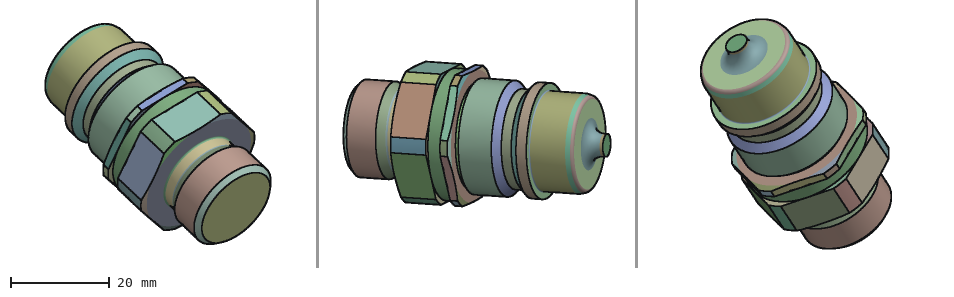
import cadquery as cq
import math

length = 53.7

tip_flare_start = 0.7
nose_face = 3.65
nose_cone_end = 5.2
collar_start = 13.0
collar_end = 15.25
groove_floor_start = 16.85
groove_floor_end = 19.0
barrel_start = 20.55
barrel_end = 27.7
hex_start = 28.7
hex_washer_end = 30.6
hex_nut_start = 33.65
hex_end = 41.6
thread_start = 46.3

tip_radius = 2.35
nose_radius = 10.25
collar_radius = 11.85
neck_radius = 10.9
relief_radius = 8.85
thread_radius = 10.0

hex_flats = 27.0
hex_corner_diameter = 29.5
hex_chamfer_angle = math.radians(15)

nose_edge_radius = 0.8
nose_cone_angle = math.radians(15)
collar_root_fillet = 0.2
neck_fillet = 0.3
relief_fillet = 0.3
relief_cone_fillet = 0.8
relief_cone_angle = math.radians(30)
thread_chamfer = 1.15


def arc(sketch, center, radius, start_angle, end_angle):
    """Add an arc around center, angles measured from +X; it begins where the sketch ends."""
    def on_circle(angle):
        return (center[0] + radius * math.cos(angle), center[1] + radius * math.sin(angle))

    return sketch.threePointArc(on_circle((start_angle + end_angle) / 2), on_circle(end_angle))


def root_fillet_before_wall(sketch, wall_x, radius, fillet):
    """Follow a cylinder up to a wall that rises from it, blending the corner."""
    sketch = sketch.lineTo(wall_x - fillet, radius)
    return arc(sketch, (wall_x - fillet, radius + fillet), fillet, -math.pi / 2, 0)


def root_fillet_after_wall(sketch, wall_x, radius, fillet):
    """Come down a wall onto a cylinder, blending the corner."""
    sketch = sketch.lineTo(wall_x, radius + fillet)
    return arc(sketch, (wall_x + fillet, radius + fillet), fillet, math.pi, 1.5 * math.pi)


def revolve_about_axis(sketch):
    return sketch.close().revolve(360, (0, 0, 0), (1, 0, 0))


def turned_body():
    """Everything that is round, with a plain cylinder inside the hexagon."""
    sketch = cq.Workplane("XY").lineTo(0, tip_radius).lineTo(tip_flare_start, tip_radius)

    flare_radius = nose_face - tip_flare_start
    flare_center = (tip_flare_start, tip_radius + flare_radius)
    sketch = arc(sketch, flare_center, flare_radius, -math.pi / 2, 0)

    edge_center_x = nose_face + nose_edge_radius
    cone_start = edge_center_x - nose_edge_radius * math.sin(nose_cone_angle)
    cone_start_radius = nose_radius - (nose_cone_end - cone_start) * math.tan(nose_cone_angle)
    edge_center_radius = cone_start_radius - nose_edge_radius * math.cos(nose_cone_angle)
    sketch = sketch.lineTo(nose_face, edge_center_radius)
    edge_end_angle = math.pi / 2 + nose_cone_angle
    sketch = arc(sketch, (edge_center_x, edge_center_radius), nose_edge_radius, math.pi, edge_end_angle)
    sketch = sketch.lineTo(nose_cone_end, nose_radius)

    sketch = root_fillet_before_wall(sketch, collar_start, nose_radius, collar_root_fillet)
    sketch = (
        sketch.lineTo(collar_start, collar_radius)
        .lineTo(collar_end, collar_radius)
        .lineTo(groove_floor_start, nose_radius)
        .lineTo(groove_floor_end, nose_radius)
        .lineTo(barrel_start, collar_radius)
        .lineTo(barrel_end, collar_radius)
    )

    sketch = root_fillet_after_wall(sketch, barrel_end, neck_radius, neck_fillet)
    sketch = (
        sketch.lineTo(hex_start, neck_radius)
        .lineTo(hex_start, hex_flats / 2)
        .lineTo(hex_end, hex_flats / 2)
    )

    sketch = root_fillet_after_wall(sketch, hex_end, relief_radius, relief_fillet)
    cone_length = (thread_radius - relief_radius) / math.tan(relief_cone_angle)
    blend_start = thread_start - cone_length - relief_cone_fillet * math.tan(relief_cone_angle / 2)
    blend_center = (blend_start, relief_radius + relief_cone_fillet)
    sketch = sketch.lineTo(blend_start, relief_radius)
    blend_end_angle = relief_cone_angle - math.pi / 2
    sketch = arc(sketch, blend_center, relief_cone_fillet, -math.pi / 2, blend_end_angle)

    sketch = (
        sketch.lineTo(thread_start, thread_radius)
        .lineTo(length - thread_chamfer, thread_radius)
        .lineTo(length, thread_radius - thread_chamfer)
        .lineTo(length, 0)
    )
    return revolve_about_axis(sketch)


def hexagon(start, end):
    """Hexagonal prism with two flats facing +Z and -Z."""
    across_corners = hex_flats / math.cos(math.pi / 6)
    return cq.Workplane("YZ", origin=(start, 0, 0)).polygon(6, across_corners).extrude(end - start)


def hex_corner_envelope():
    """Round envelope that trims the hexagon corners and chamfers both outer faces."""
    flat_radius = hex_flats / 2
    corner_radius = hex_corner_diameter / 2
    chamfer_depth = (corner_radius - flat_radius) * math.tan(hex_chamfer_angle)
    sketch = (
        cq.Workplane("XY")
        .moveTo(hex_start, 0)
        .lineTo(hex_start, flat_radius)
        .lineTo(hex_start + chamfer_depth, corner_radius)
        .lineTo(hex_end - chamfer_depth, corner_radius)
        .lineTo(hex_end, flat_radius)
        .lineTo(hex_end, 0)
    )
    return revolve_about_axis(sketch)


plug = turned_body()
for start, end in ((hex_start, hex_washer_end), (hex_nut_start, hex_end)):
    plug = plug.union(hexagon(start, end).intersect(hex_corner_envelope()))

result = plug.translate((-length / 2, 0, 0))